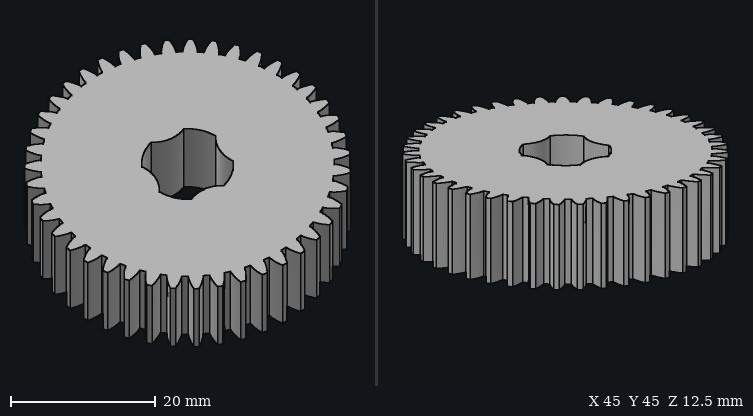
import cadquery as cq
import math

tip_diameter = 45.0
tooth_count = 43
pressure_angle = math.radians(20)
dedendum_factor = 1.25
thickness = 12.5

bore_radius = 6.35
lobe_clearance = 5.1
lobe_radius = 4.9
lobe_count = 4

module = tip_diameter / (tooth_count + 2)
tip_radius = tip_diameter / 2
pitch_radius = module * tooth_count / 2
root_radius = pitch_radius - dedendum_factor * module
base_radius = pitch_radius * math.cos(pressure_angle)
tooth_pitch = 2 * math.pi / tooth_count

flank_steps = 4


def polar(radius, angle):
    return (radius * math.cos(angle), radius * math.sin(angle))


def involute(angle):
    return math.tan(angle) - angle


def half_tooth_angle(radius):
    """Half of the angle that an involute tooth spans at the given radius."""
    flank_angle = math.acos(base_radius / radius)
    return tooth_pitch / 4 + involute(pressure_angle) - involute(flank_angle)


def add_tooth(outline, center_angle):
    """Draw one tooth and the root arc that follows it, counterclockwise."""
    radii = [
        root_radius + (tip_radius - root_radius) * step / flank_steps
        for step in range(flank_steps + 1)
    ]
    rising = [polar(r, center_angle - half_tooth_angle(r)) for r in radii]
    falling = [polar(r, center_angle + half_tooth_angle(r)) for r in reversed(radii)]
    next_tooth = center_angle + tooth_pitch
    root_middle = polar(root_radius, center_angle + tooth_pitch / 2)
    root_end = polar(root_radius, next_tooth - half_tooth_angle(root_radius))

    outline = outline.spline(rising[1:], includeCurrent=True)
    outline = outline.threePointArc(polar(tip_radius, center_angle), falling[0])
    outline = outline.spline(falling[1:], includeCurrent=True)
    return outline.threePointArc(root_middle, root_end)


def make_gear_blank():
    """Toothed disc standing on Z = 0, with the first tooth centred on +X."""
    outline = cq.Workplane("XY").moveTo(*polar(root_radius, -half_tooth_angle(root_radius)))
    for tooth in range(tooth_count):
        outline = add_tooth(outline, tooth * tooth_pitch)
    return outline.close().extrude(thickness)


def make_bore():
    """Through bore with one lobe on each of the +X, +Y, -X and -Y sides."""
    bore = cq.Workplane("XY").circle(bore_radius).extrude(thickness)
    lobes = (
        cq.Workplane("XY")
        .polarArray(lobe_clearance + lobe_radius, 0, 360, lobe_count)
        .circle(lobe_radius)
        .extrude(thickness)
    )
    return bore.cut(lobes)


result = make_gear_blank().cut(make_bore())